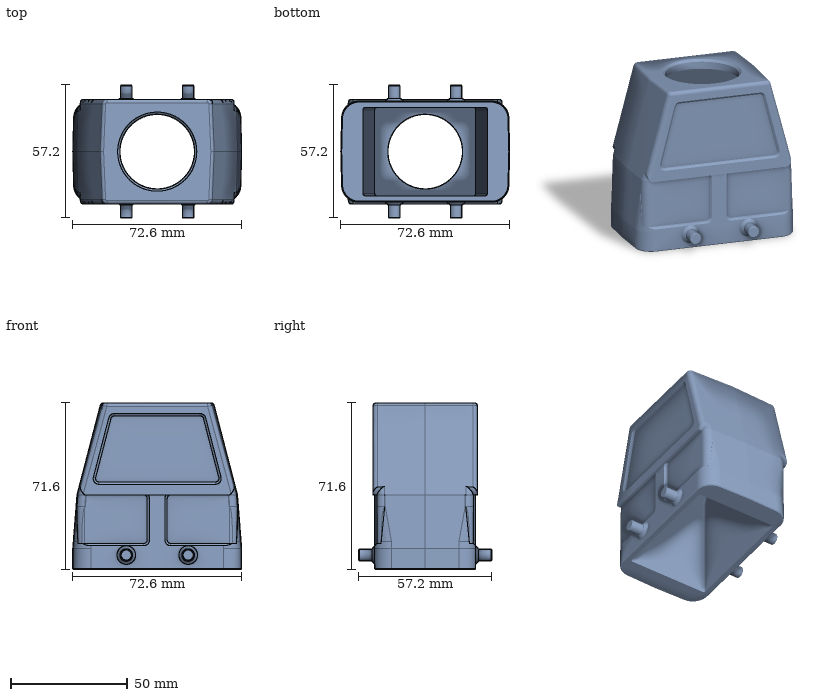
import cadquery as cq
import math

total_height = 71.6
rim_height = 9.0
round_end_height = 12.0
corner_blend_height = 27.0
shoulder_height = 32.0
ear_height = 35.6

rim_half_x = 36.3
shoulder_half_x = 34.5
top_half_x = 24.2
lower_draft = (rim_half_x - shoulder_half_x) / (shoulder_height - rim_height)
upper_draft = (shoulder_half_x - top_half_x) / (total_height - shoulder_height)

shoulder_ridge_slope = 0.025
top_ridge_slope = 0.042

upper_half_y = 22.5
lower_half_y = 21.7

rim_corner_radius = 7.4
bottom_chamfer = 0.4
upper_corner_radius = 2.0
top_edge_radius = 1.5

column_half_y = 20.7
column_radius = 3.3
column_flat_half_y = column_half_y - column_radius
blend_corner_radius = 3.6
web_half_x = 5.0

ear_start_x = 31.0
ear_bulge = 0.5

panel_depth = lower_half_y - column_half_y
side_panel_inner_x = 4.3
side_panel_bottom_z = 11.2
side_panel_radius = 1.5
side_panel_start_y = 19.0
face_panel_bottom_z = 37.6
face_panel_top_z = 66.0
face_panel_margin = 6.1
face_panel_radius = 1.5
clearance = 10.0

entry_diameter = 32.0
entry_chamfer = 1.0

cavity_half_x = 26.7
cavity_half_y = 19.0
cavity_bend_z = 48.2
roof_thickness = 4.2
cavity_corner_radius = 1.0

pin_x = 13.3
pin_z = 6.2
pin_radius = 2.5
pin_tip_y = 28.6
pin_tip_chamfer = 0.3
pin_foot_radius = 4.0
pin_neck_radius = 2.7
pin_neck_y = 22.9


def outer_half_x(z):
    """Half length of the housing on the ridge at height z."""
    if z <= rim_height:
        return rim_half_x
    if z <= shoulder_height:
        return rim_half_x - lower_draft * (z - rim_height)
    return shoulder_half_x - upper_draft * (z - shoulder_height)


def ridge_slope(z):
    """Fall of the end faces per unit of Y at height z."""
    rise = max(0, z - shoulder_height) / (total_height - shoulder_height)
    return shoulder_ridge_slope + (top_ridge_slope - shoulder_ridge_slope) * rise


def end_half_x(z, y):
    """Half length of the housing at height z and distance y from the ridge."""
    return outer_half_x(z) - ridge_slope(z) * y


def ridged_outline(z, half_y, corner_radius=0.0):
    """Closed six-sided wire whose two ends are bent along Y = 0."""
    ridge_x = outer_half_x(z)
    corner_x = end_half_x(z, half_y)
    corners = [(corner_x, half_y), (-corner_x, half_y), (-corner_x, -half_y), (corner_x, -half_y)]
    points = corners[:2] + [(-ridge_x, 0)] + corners[2:] + [(ridge_x, 0)]
    wire = cq.Wire.makePolygon([cq.Vector(x, y, z) for x, y in points], close=True)
    if corner_radius:
        rounded = [v for v in wire.Vertices() if abs(v.Y) > half_y / 2]
        wire = wire.fillet2D(corner_radius, rounded)
    return wire


def column_outline(z, half_x):
    plane = cq.Workplane("XY", origin=(0, 0, z))
    wire = plane.rect(2 * half_x, 2 * column_half_y).val()
    return wire.fillet2D(column_radius, wire.Vertices())


def between(lower_wire, upper_wire):
    return cq.Workplane(obj=cq.Solid.makeLoft([lower_wire, upper_wire], True))


def mirrored_in_y(body):
    return body.union(body.mirror("XZ"))


def make_column(top_z):
    """Rounded column, upright at first and then leaning inwards with the end faces."""
    upright_x = end_half_x(corner_blend_height, column_flat_half_y)
    column = between(
        column_outline(side_panel_bottom_z, upright_x), column_outline(corner_blend_height, upright_x)
    )
    heights = [z for z in (corner_blend_height, shoulder_height, ear_height) if z <= top_z]
    outlines = [column_outline(z, end_half_x(z, column_flat_half_y)) for z in heights]
    for lower, upper in zip(outlines, outlines[1:]):
        column = column.union(between(lower, upper))
    return column


def side_panel_tool(column):
    """Cutter for the lower panel on the +X, +Y quarter."""
    outer_x = rim_half_x + clearance
    width = outer_x - side_panel_inner_x
    height = shoulder_height - side_panel_bottom_z
    center = (side_panel_inner_x + width / 2, side_panel_bottom_z + height / 2)

    def floor_outline(y):
        plane = cq.Workplane("XZ", origin=(0, y, 0)).center(*center)
        return plane.sketch().rect(width, height).vertices().fillet(side_panel_radius).finalize()

    inner = floor_outline(column_flat_half_y).extrude(column_flat_half_y - column_half_y)
    kept_wedge = [
        (column_flat_half_y, side_panel_bottom_z),
        (side_panel_start_y, side_panel_bottom_z),
        (column_flat_half_y, corner_blend_height),
    ]
    inner = inner.cut(cq.Workplane("YZ").polyline(kept_wedge).close().extrude(outer_x))
    flare = floor_outline(column_half_y).extrude(-panel_depth, taper=-45)
    ceiling = cq.Workplane("XY", origin=(0, 0, shoulder_height)).rect(4 * outer_x, 4 * outer_x)
    return inner.union(flare).cut(ceiling.extrude(clearance)).cut(column)


def make_lower_housing():
    base_wire = ridged_outline(0, lower_half_y, rim_corner_radius)
    rim_wire = ridged_outline(rim_height, lower_half_y, rim_corner_radius)
    round_end_wire = ridged_outline(round_end_height, lower_half_y, rim_corner_radius)
    blend_wire = ridged_outline(corner_blend_height, column_half_y, blend_corner_radius)
    shoulder_wire = ridged_outline(shoulder_height, column_half_y, blend_corner_radius)
    rim = between(base_wire, rim_wire).faces("<Z").chamfer(bottom_chamfer)
    wires = [rim_wire, round_end_wire, blend_wire, shoulder_wire]
    housing = rim
    for lower, upper in zip(wires, wires[1:]):
        housing = housing.union(between(lower, upper))

    web = cq.Workplane("XY", origin=(0, 0, rim_height)).rect(2 * web_half_x, 2 * lower_half_y)
    housing = housing.union(web.extrude(shoulder_height - rim_height))

    column = make_column(shoulder_height)
    tool = side_panel_tool(column)
    tools = mirrored_in_y(tool.union(tool.mirror("YZ")))
    return housing.cut(tools).union(column, clean=False)


def ear_tool(column):
    """Cutter that rounds the lower corner of the upper housing at +X."""
    outer_x = end_half_x(ear_height, column_flat_half_y)
    profile = (
        cq.Workplane("XZ", origin=(0, column_flat_half_y, 0))
        .moveTo(ear_start_x, shoulder_height)
        .sagittaArc((outer_x, ear_height), -ear_bulge)
        .lineTo(outer_x + clearance, ear_height)
        .lineTo(outer_x + clearance, shoulder_height)
        .close()
    )
    return mirrored_in_y(profile.extrude(-upper_half_y).cut(column))


def face_panel_tool():
    """Cutter for the large trapezoid panel on the +Y face."""
    bottom_x = outer_half_x(face_panel_bottom_z) - face_panel_margin
    top_x = outer_half_x(face_panel_top_z) - face_panel_margin
    floor = [
        (-bottom_x, face_panel_bottom_z),
        (bottom_x, face_panel_bottom_z),
        (top_x, face_panel_top_z),
        (-top_x, face_panel_top_z),
        (-bottom_x, face_panel_bottom_z),
    ]
    outline = cq.Sketch().polygon(floor).vertices().fillet(face_panel_radius)
    plane = cq.Workplane("XZ", origin=(0, upper_half_y - panel_depth, 0))
    return plane.placeSketch(outline).extrude(-panel_depth, taper=-45)


def make_upper_housing():
    bottom_wire = ridged_outline(shoulder_height, upper_half_y)
    top_wire = ridged_outline(total_height, upper_half_y)
    housing = between(bottom_wire, top_wire)
    corner_edges = housing.faces(">Y or <Y").edges("not #Z")
    housing = corner_edges.fillet(upper_corner_radius)
    housing = housing.faces(">Z").edges().fillet(top_edge_radius)
    ear = ear_tool(make_column(ear_height))
    housing = housing.cut(ear).cut(ear.mirror("YZ"))
    return housing.cut(mirrored_in_y(face_panel_tool()))


def make_cavity():
    roof_z = total_height - roof_thickness
    roof_half_x = cavity_half_x - upper_draft * (roof_z - cavity_bend_z)
    profile = [
        (-cavity_half_x, 0),
        (cavity_half_x, 0),
        (cavity_half_x, cavity_bend_z),
        (roof_half_x, roof_z),
        (-roof_half_x, roof_z),
        (-cavity_half_x, cavity_bend_z),
    ]
    cavity = cq.Workplane("XZ").polyline(profile).close().extrude(cavity_half_y, both=True)
    side_edges = cavity.faces("<X or >X").edges("|Z")
    slope_edges = cavity.faces(">Y or <Y").edges("not(|X or |Z)")
    return side_edges.add(slope_edges).fillet(cavity_corner_radius)


def make_entry():
    radius = entry_diameter / 2
    depth = roof_thickness + clearance
    bore = cq.Workplane("XY", origin=(0, 0, total_height)).circle(radius).extrude(-depth)
    mouth = cq.Solid.makeCone(
        radius, radius + entry_chamfer, entry_chamfer, cq.Vector(0, 0, total_height - entry_chamfer)
    )
    return bore.union(cq.Workplane(obj=mouth))


def make_pin(x):
    """Locking pin with a conical foot on the +Y side, revolved about its own axis."""
    root_y = cavity_half_y
    profile = [
        (0, root_y),
        (pin_foot_radius, root_y),
        (pin_foot_radius, lower_half_y),
        (pin_neck_radius, pin_neck_y),
        (pin_radius, pin_neck_y),
        (pin_radius, pin_tip_y - pin_tip_chamfer),
        (pin_radius - pin_tip_chamfer, pin_tip_y),
        (0, pin_tip_y),
    ]
    plane = cq.Workplane("XY", origin=(x, 0, pin_z))
    return plane.polyline(profile).close().revolve(360, (0, 0, 0), (0, 1, 0))


housing = make_lower_housing().union(make_upper_housing(), clean=False)
housing = housing.cut(make_cavity(), clean=False).cut(make_entry(), clean=False)
for side in (-1, 1):
    housing = housing.union(mirrored_in_y(make_pin(side * pin_x)), clean=False)

result = housing